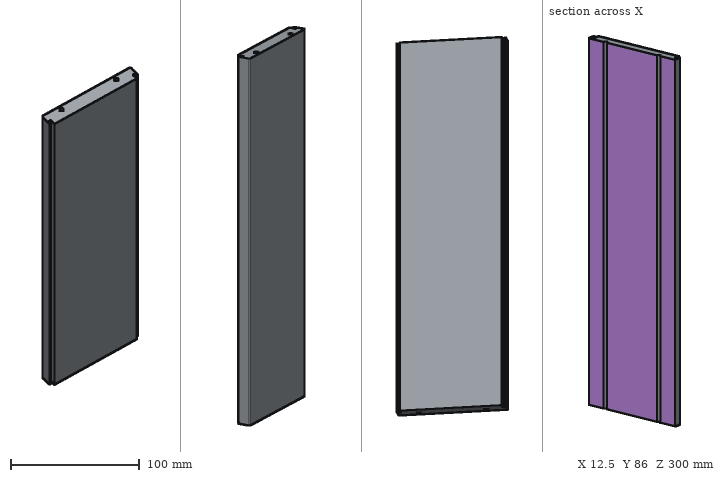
import cadquery as cq

THICKNESS = 12.5
WIDTH = 86.0
HEIGHT = 300.0

LIP_END_X = 10.0
LIP_THICKNESS = 1.5
GROOVE_WIDTH = 1.5
GROOVE_FLOOR_X = 7.5

FACE_EDGE_RADIUS = 1.35

HOLE_DIAMETER = 3.2
HOLE_X = 3.8
HOLE_SPACING = 53.0


def panel_body():
    """Panel centred on Y with its large face at X = 0."""
    body = cq.Workplane("XY").box(THICKNESS, WIDTH, HEIGHT, centered=(False, True, False))
    return body.edges("|Z and <X").fillet(FACE_EDGE_RADIUS)


def edge_rebate(side):
    """Material removed at one long edge: the groove plus the shortfall of the lip."""
    outer = WIDTH / 2
    lip_inner = outer - LIP_THICKNESS
    groove_inner = lip_inner - GROOVE_WIDTH
    outline = [
        (GROOVE_FLOOR_X, groove_inner),
        (THICKNESS, groove_inner),
        (THICKNESS, outer),
        (LIP_END_X, outer),
        (LIP_END_X, lip_inner),
        (GROOVE_FLOOR_X, lip_inner),
    ]
    points = [(x, side * y) for x, y in outline]
    return cq.Workplane("XY").polyline(points).close().extrude(HEIGHT)


def long_holes():
    """Two holes through the full height, parallel to Z."""
    centres = [(HOLE_X, side * HOLE_SPACING / 2) for side in (-1, 1)]
    return cq.Workplane("XY").pushPoints(centres).circle(HOLE_DIAMETER / 2).extrude(HEIGHT)


result = panel_body().cut(long_holes())
for edge_side in (-1, 1):
    result = result.cut(edge_rebate(edge_side))